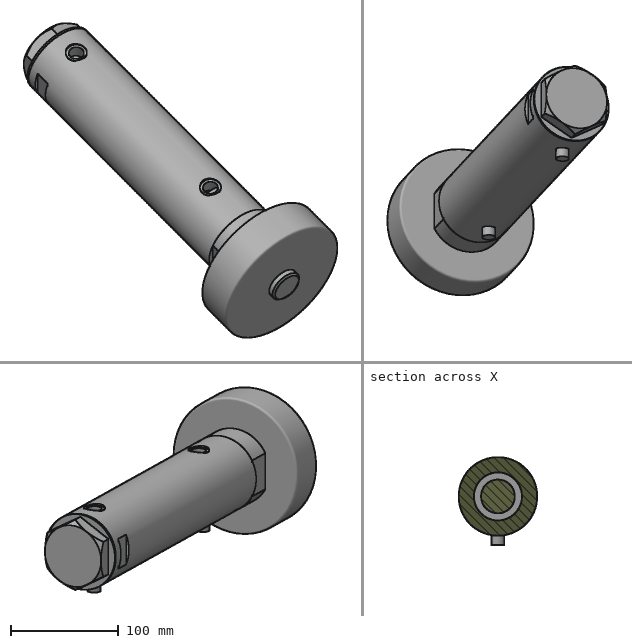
import cadquery as cq
import math

overall_length = 357.5

plug_collar_start = 14.3
barrel_start = 16.5
piston_face = 42.2
gland_nose_start = 242.7
barrel_end = 287.0
disc_start = 312.8
disc_end = 350.7

barrel_diameter = 73.0
bore_diameter = 44.5
gland_nose_diameter = 60.8
rod_diameter = 31.5
disc_diameter = 132.0

hex_across_flats = 59.5
hex_chamfer_angle = 45.0

piston_length = 28.5
rod_tip_chamfer = 1.8
disc_rim_fillet = 2.0

barrel_flat_start = 26.0
barrel_flat_length = 15.5
barrel_flat_across = 67.0
gland_flat_across = 64.0

port_positions = [41.5, gland_nose_start]
port_diameter = 14.0
spotface_diameter = 19.5
spotface_depth = 1.8

stud_positions = [40.8, 251.0]
stud_diameter = 12.0
stud_height = 8.5


def cylinder_x(start, end, diameter):
    """Cylinder on the X axis between two stations."""
    return cq.Workplane("YZ").workplane(offset=start).circle(diameter / 2).extrude(end - start)


def cylinder_z(x, bottom, top, diameter):
    """Vertical cylinder centred at x on the XZ plane."""
    return cq.Workplane("XY", origin=(x, 0, bottom)).circle(diameter / 2).extrude(top - bottom)


def between_flats(start, length, across):
    """Block that keeps what lies between two flats facing -Y and +Y."""
    block = cq.Workplane("XY").box(length, across, barrel_diameter, centered=(False, True, True))
    return block.translate((start, 0, 0))


def make_plug():
    """Hex head with chamfered corners, a thin collar and a nose that closes the bore."""
    across_corners = hex_across_flats / math.cos(math.radians(30))
    head = (
        cq.Workplane("YZ")
        .polygon(6, across_corners)
        .extrude(plug_collar_start)
        .rotate((0, 0, 0), (1, 0, 0), 90)
    )
    face_radius = hex_across_flats / 2
    cone_end_radius = face_radius + plug_collar_start * math.tan(math.radians(hex_chamfer_angle))
    corner_cone = (
        cq.Workplane("XY")
        .polyline([(0, 0), (0, face_radius), (plug_collar_start, cone_end_radius), (plug_collar_start, 0)])
        .close()
        .revolve(360, (0, 0, 0), (1, 0, 0))
    )
    collar = cylinder_x(plug_collar_start, barrel_start, barrel_diameter)
    nose = cylinder_x(barrel_start, piston_face, bore_diameter)
    return head.intersect(corner_cone).union(collar).union(nose)


def make_barrel():
    """Tube with a stepped bore, two side flats, two oil ports and two studs."""
    radius = barrel_diameter / 2
    barrel = cylinder_x(barrel_start, barrel_end, barrel_diameter)

    flat_ring = cylinder_x(barrel_flat_start, barrel_flat_start + barrel_flat_length, barrel_diameter)
    flat_core = between_flats(barrel_flat_start, barrel_flat_length, barrel_flat_across)
    barrel = barrel.cut(flat_ring.cut(flat_core))

    for x in stud_positions:
        barrel = barrel.union(cylinder_z(x, -radius - stud_height, 0, stud_diameter))

    for x in port_positions:
        barrel = barrel.cut(cylinder_z(x, 0, radius, port_diameter))
        barrel = barrel.cut(cylinder_z(x, radius - spotface_depth, radius, spotface_diameter))

    barrel = barrel.cut(cylinder_x(barrel_start, barrel_end, bore_diameter))
    return barrel.cut(cylinder_x(gland_nose_start, barrel_end, gland_nose_diameter))


def make_gland():
    """Rod guide: a nose inside the barrel and a neck with two wrench flats."""
    neck_length = disc_start - barrel_end
    neck = cylinder_x(barrel_end, disc_start, barrel_diameter)
    neck = neck.intersect(between_flats(barrel_end, neck_length, gland_flat_across))
    nose = cylinder_x(gland_nose_start, barrel_end, gland_nose_diameter)
    rod_hole = cylinder_x(gland_nose_start, disc_start, rod_diameter)
    return neck.union(nose).cut(rod_hole)


def make_piston_rod():
    """Piston resting on the plug nose, with the rod running out to a chamfered tip."""
    piston = cylinder_x(piston_face, piston_face + piston_length, bore_diameter)
    rod = cylinder_x(piston_face, overall_length, rod_diameter).faces(">X").chamfer(rod_tip_chamfer)
    return piston.union(rod)


def make_disc():
    """Thrust disc on the rod, rounded on both outer rims."""
    disc = cylinder_x(disc_start, disc_end, disc_diameter).edges("%CIRCLE").fillet(disc_rim_fillet)
    return disc.cut(cylinder_x(disc_start, disc_end, rod_diameter))


plug = make_plug()
barrel = make_barrel()
gland = make_gland()
piston_rod = make_piston_rod()
disc = make_disc()

result = cq.Compound.makeCompound(
    [plug.val(), barrel.val(), gland.val(), piston_rod.val(), disc.val()]
)